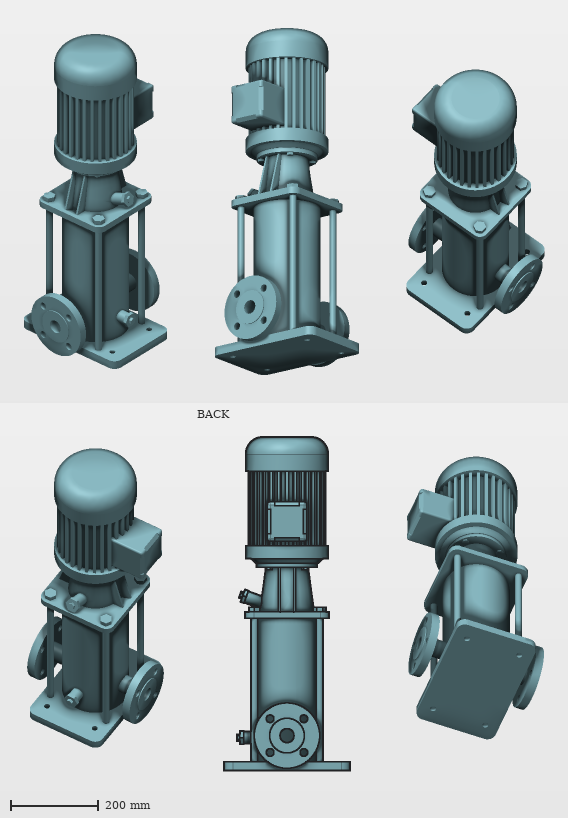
import cadquery as cq
import math


hex_sides = 6

overall_height = 767.0
base_thickness = 21.0
head_bottom = 350.0
head_top = 365.0
stool_top = 467.0
motor_flange_top = 477.0
lower_ring_bottom = 487.0
lower_ring_top = 517.0
cowl_bottom = 688.0

base_length = 290.0
plate_width = 193.0
plate_corner_radius = 20.0
anchor_spacing_x = 215.0
anchor_spacing_y = 129.0
anchor_hole_diameter = 14.0

barrel_diameter = 155.0
tie_rod_diameter = 16.0
tie_rod_offset = 75.0
rod_head_across_flats = 25.0
rod_head_height = 11.0

port_height = 80.5
port_reach = 140.0
port_pipe_diameter = 42.0
port_bore_diameter = 32.0
port_flange_diameter = 150.0
port_flange_thickness = 19.0
raised_face_diameter = 80.0
raised_face_height = 2.0
flange_hole_diameter = 18.0
flange_hole_spacing = 77.5

stool_bottom_radius = 63.0
stool_top_radius = 49.0
rib_spacing = 34.5
rib_thickness = 4.5
rib_bottom_reach = 86.0
rib_top_reach = 55.0
recess_inner_reach = 57.5
recess_depth = 12.0
stool_bolt_offset = 42.0
stool_bolt_across_flats = 14.0
stool_bolt_height = 5.0

motor_flange_diameter = 140.0
motor_ring_diameter = 190.0
motor_neck_radius = 72.0
motor_shoulder_radius = 83.0
motor_core_diameter = 155.0
fin_tip_radius = 89.0
fin_thickness = 7.0
fin_count = 30
cowl_round = 40.0

box_size = 90.5
box_center_height = 572.0
box_back = 155.0
box_edge_round = 4.5
lid_edge_round = 7.0
lid_chamfer_depth = lid_edge_round
lid_chamfer_drop = 8.5
lid_corner_size = 17.0

drain_height = 76.0
vent_tilt = 20.0
plug_tube_diameter = 28.0
plug_tube_end = 100.0
plug_hex_end = 108.0
plug_tip_end = 115.0
plug_hex_across_flats = 31.0
plug_tip_across_flats = 14.0


def disc(diameter, bottom, top):
    """Upright cylinder on the pump axis."""
    return cq.Workplane("XY").workplane(offset=bottom).circle(diameter / 2).extrude(top - bottom)


def plate(length, bottom, top):
    """Flat plate with rounded vertical corners."""
    thickness = top - bottom
    blank = cq.Workplane("XY").workplane(offset=bottom).rect(length, plate_width).extrude(thickness)
    return blank.edges("|Z").fillet(plate_corner_radius)


def hex_corners(across_flats):
    """Across-corners size of a hexagon."""
    return across_flats / math.cos(math.pi / hex_sides)


def base_plate():
    anchor_holes = (
        cq.Workplane("XY")
        .rect(anchor_spacing_x, anchor_spacing_y, forConstruction=True)
        .vertices()
        .circle(anchor_hole_diameter / 2)
        .extrude(base_thickness)
    )
    return plate(base_length, 0, base_thickness).cut(anchor_holes)


def head_plate():
    """Plate above the barrel, with a sloping drain recess between each pair of stool ribs."""
    recess = (
        cq.Workplane("YZ")
        .moveTo(-rib_bottom_reach, head_top)
        .lineTo(-recess_inner_reach, head_top)
        .lineTo(-recess_inner_reach, head_top - recess_depth)
        .close()
        .extrude((rib_spacing - rib_thickness) / 2, both=True)
    )
    stool_foot = disc(2 * stool_bottom_radius, head_bottom, head_top)
    body = plate(plate_width, head_bottom, head_top)
    for turn in (0, 180):
        body = body.cut(recess.rotate((0, 0, 0), (0, 0, 1), turn))
    return body.union(stool_foot)


def tie_rod(side_x, side_y):
    """Rod from base to head plate, topped by a hexagon head."""
    place = (side_x * tie_rod_offset, side_y * tie_rod_offset)
    rod = (
        cq.Workplane("XY")
        .center(*place)
        .circle(tie_rod_diameter / 2)
        .extrude(head_top)
    )
    turn = 90 if side_x > 0 else 0
    head = (
        cq.Workplane("XY")
        .polygon(hex_sides, hex_corners(rod_head_across_flats))
        .extrude(rod_head_height)
        .rotate((0, 0, 0), (0, 0, 1), turn)
        .translate((*place, head_top))
    )
    return rod.union(head)


def port():
    """Flanged port on the -Y side, bored as far as the barrel wall."""
    flange_face = port_reach - raised_face_height
    flange_back = flange_face - port_flange_thickness
    plane = cq.Workplane("XZ").center(0, port_height)
    pipe = plane.circle(port_pipe_diameter / 2).extrude(flange_back)
    flange = (
        plane.workplane(offset=flange_back)
        .circle(port_flange_diameter / 2)
        .extrude(port_flange_thickness)
    )
    raised_face = (
        plane.workplane(offset=flange_face)
        .circle(raised_face_diameter / 2)
        .extrude(raised_face_height)
    )
    bolt_holes = (
        plane.rect(flange_hole_spacing, flange_hole_spacing, forConstruction=True)
        .vertices()
        .circle(flange_hole_diameter / 2)
        .extrude(port_reach)
    )
    bore = plane.circle(port_bore_diameter / 2).extrude(port_reach)
    return pipe.union(flange).union(raised_face).cut(bolt_holes).cut(bore)


def plug():
    """Plug along +X from the origin: tube, hexagon and small hexagon tip."""
    axis = cq.Workplane("YZ")
    half_flat_turn = 180 / hex_sides
    tube = axis.circle(plug_tube_diameter / 2).extrude(plug_tube_end)
    hexagon = (
        axis.workplane(offset=plug_tube_end)
        .polygon(hex_sides, hex_corners(plug_hex_across_flats))
        .extrude(plug_hex_end - plug_tube_end)
    )
    tip = (
        axis.workplane(offset=plug_hex_end)
        .polygon(hex_sides, hex_corners(plug_tip_across_flats))
        .extrude(plug_tip_end - plug_hex_end)
        .rotate((0, 0, 0), (1, 0, 0), half_flat_turn)
    )
    return tube.union(hexagon).union(tip)


def stool():
    """Tapered stool with two pairs of ribs and the bolts of the motor flange."""
    cone = (
        cq.Workplane("XZ")
        .moveTo(0, head_top)
        .lineTo(stool_bottom_radius, head_top)
        .lineTo(stool_top_radius, stool_top)
        .lineTo(0, stool_top)
        .close()
        .revolve(360, (0, 0, 0), (0, 1, 0))
    )
    rib = (
        cq.Workplane("YZ")
        .moveTo(-rib_bottom_reach, head_top)
        .lineTo(rib_bottom_reach, head_top)
        .lineTo(rib_top_reach, stool_top)
        .lineTo(-rib_top_reach, stool_top)
        .close()
        .extrude(rib_thickness / 2, both=True)
    )
    body = cone
    for side in (-1, 1):
        body = body.union(rib.translate((side * rib_spacing / 2, 0, 0)))
    bolts = (
        cq.Workplane("XY")
        .workplane(offset=stool_top - stool_bolt_height)
        .rect(2 * stool_bolt_offset, 2 * stool_bolt_offset, forConstruction=True)
        .vertices()
        .polygon(hex_sides, hex_corners(stool_bolt_across_flats))
        .extrude(stool_bolt_height)
    )
    return body.union(bolts)


def motor():
    """Mounting flange, flared end shield, finned core and domed fan cowl."""
    flange = disc(motor_flange_diameter, stool_top, motor_flange_top)
    shield = (
        cq.Workplane("XZ")
        .moveTo(0, motor_flange_top)
        .lineTo(motor_neck_radius, motor_flange_top)
        .lineTo(motor_shoulder_radius, lower_ring_bottom)
        .lineTo(0, lower_ring_bottom)
        .close()
        .revolve(360, (0, 0, 0), (0, 1, 0))
    )
    lower_ring = disc(motor_ring_diameter, lower_ring_bottom, lower_ring_top)
    core = disc(motor_core_diameter, lower_ring_top, cowl_bottom)
    cowl = disc(motor_ring_diameter, cowl_bottom, overall_height).faces(">Z").edges().fillet(cowl_round)
    return flange.union(shield).union(lower_ring).union(core).union(fins()).union(cowl)


def fins():
    """Radial cooling fins, one of them pointing to -Y."""
    pitch = 360 / fin_count
    root_radius = motor_core_diameter / 2 - fin_thickness
    fin_depth = fin_tip_radius - root_radius
    blade = (
        cq.Workplane("XY")
        .workplane(offset=lower_ring_top)
        .center(0, -root_radius - fin_depth / 2)
        .rect(fin_thickness, fin_depth)
        .extrude(cowl_bottom - lower_ring_top)
    )
    blades = cq.Workplane("XY")
    for index in range(fin_count):
        turned = blade.rotate((0, 0, 0), (0, 0, 1), index * pitch)
        blades.add(turned)
    return blades.combine()


def terminal_box():
    """Rounded box on the +Y side; the lid rim is chamfered between its four corner lugs."""
    half_size = box_size / 2
    box = cq.Workplane("XY").box(box_size, box_back, box_size).translate((0, box_back / 2, 0))
    box = box.edges("|Y").fillet(box_edge_round).faces(">Y").edges().fillet(lid_edge_round)
    rim_length = box_size - 2 * lid_corner_size
    rim_cut = (
        cq.Workplane("YZ")
        .moveTo(box_back, half_size)
        .lineTo(box_back - lid_chamfer_depth, half_size)
        .lineTo(box_back, half_size - lid_chamfer_drop)
        .close()
        .extrude(rim_length / 2, both=True)
    )
    for turn in (0, 90, 180, 270):
        box = box.cut(rim_cut.rotate((0, 0, 0), (0, 1, 0), turn))
    return box.translate((0, 0, box_center_height))


barrel = disc(barrel_diameter, base_thickness, head_bottom)

inlet = port()
outlet = inlet.rotate((0, 0, 0), (0, 0, 1), 180)
drain_plug = plug().translate((0, 0, drain_height))
vent_plug = plug().rotate((0, 0, 0), (0, 1, 0), -vent_tilt).translate((0, 0, head_top))

result = base_plate().union(barrel).union(head_plate())
for side_x in (-1, 1):
    for side_y in (-1, 1):
        result = result.union(tie_rod(side_x, side_y))
for item in (inlet, outlet, drain_plug, vent_plug, stool(), motor(), terminal_box()):
    result = result.union(item)